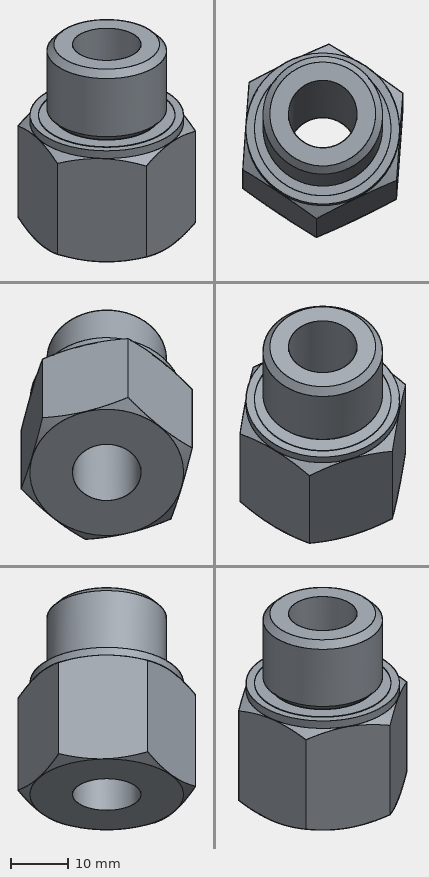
import cadquery as cq
import math

total_height = 36.0
across_flats = 27.0
across_corners = across_flats / math.cos(math.radians(30))
hex_height = 20.52
hex_chamfer_angle = 30.0

collar_diameter = 26.9
collar_height = 1.5
spigot_diameter = 20.95
neck_diameter = 18.5
spigot_chamfer = (spigot_diameter - neck_diameter) / 2
bore_diameter = 12.0

recess_diameter = 23.9
recess_depth = 0.1

collar_top = hex_height + collar_height


def revolve_profile(points):
    """Revolve a closed (radius, height) outline about the Z axis."""
    return cq.Workplane("XZ").polyline(points).close().revolve(360, (0, 0), (0, 1))


def make_hexagon():
    """Hexagonal body with a point on the Y axis and conical chamfers at both ends."""
    prism = cq.Workplane("XY").polygon(6, across_corners).extrude(hex_height)
    prism = prism.rotate((0, 0, 0), (0, 0, 1), 90)
    end_radius = collar_diameter / 2
    corner_radius = across_corners / 2
    chamfer_height = (corner_radius - end_radius) * math.tan(math.radians(hex_chamfer_angle))
    envelope = revolve_profile([
        (0, 0),
        (end_radius, 0),
        (corner_radius, chamfer_height),
        (corner_radius, hex_height - chamfer_height),
        (end_radius, hex_height),
        (0, hex_height),
    ])
    return prism.intersect(envelope)


def make_collar_and_spigot():
    """Round collar with a recessed face, and the spigot above it, tapered to the neck diameter at both ends."""
    collar_radius = collar_diameter / 2
    spigot_radius = spigot_diameter / 2
    neck_radius = neck_diameter / 2
    recess_radius = recess_diameter / 2
    recess_floor = collar_top - recess_depth
    return revolve_profile([
        (0, hex_height),
        (collar_radius, hex_height),
        (collar_radius, collar_top),
        (recess_radius, collar_top),
        (recess_radius, recess_floor),
        (neck_radius, recess_floor),
        (neck_radius, collar_top),
        (spigot_radius, collar_top + spigot_chamfer),
        (spigot_radius, total_height - spigot_chamfer),
        (neck_radius, total_height),
        (0, total_height),
    ])


def make_bore():
    return cq.Workplane("XY").circle(bore_diameter / 2).extrude(total_height)


result = make_hexagon().union(make_collar_and_spigot()).cut(make_bore())